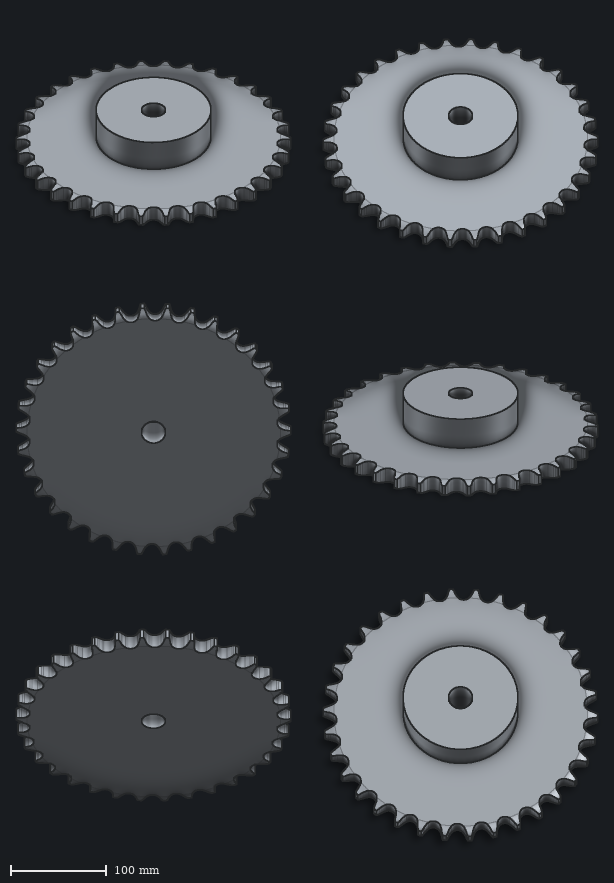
import cadquery as cq
import math

tooth_count = 34
outer_diameter = 287.0
outer_radius = outer_diameter / 2
pitch_diameter = 275.2
pitch_radius = pitch_diameter / 2
plate_thickness = 16.0
pitch_angle = 360 / tooth_count
chain_pitch = 2 * pitch_radius * math.sin(math.radians(pitch_angle / 2))

roller_to_pitch_ratio = 0.625
working_offset_ratio = 0.8
topping_offset_ratio = 1.4
roller_diameter = roller_to_pitch_ratio * chain_pitch
seat_radius = roller_diameter / 2
seat_end_angle = math.radians(35 + 60 / tooth_count)
working_arc_angle = math.radians(18 - 56 / tooth_count)
topping_angle = math.radians(17 - 64 / tooth_count)
working_offset = working_offset_ratio * roller_diameter
topping_offset = topping_offset_ratio * roller_diameter
working_radius = seat_radius + working_offset
flank_length = (
    topping_offset * math.sin(topping_angle) - working_offset * math.sin(working_arc_angle)
)
topping_radius = (
    working_offset * math.cos(working_arc_angle)
    + topping_offset * math.cos(topping_angle)
    - working_radius
)

rim_clearance = 1.5

relief_start_radius = 132.3
relief_width = outer_radius - relief_start_radius
relief_radius = chain_pitch

hub_diameter = 120.0
total_height = 50.0
bore_diameter = 25.0


def relief_drop(distance):
    """Drop of the relief arc below the plate face, at a distance outward from where it starts."""
    return relief_radius - math.sqrt(relief_radius**2 - distance**2)


def make_blank():
    """Round plate whose rim is thinned on both faces by an arc tangent to the face."""
    rim_drop = relief_drop(relief_width)
    middle_radius = relief_start_radius + relief_width / 2
    middle_drop = relief_drop(relief_width / 2)
    return (
        cq.Workplane("XZ")
        .moveTo(0, 0)
        .lineTo(relief_start_radius, 0)
        .threePointArc((middle_radius, middle_drop), (outer_radius, rim_drop))
        .lineTo(outer_radius, plate_thickness - rim_drop)
        .threePointArc(
            (middle_radius, plate_thickness - middle_drop),
            (relief_start_radius, plate_thickness),
        )
        .lineTo(0, plate_thickness)
        .close()
        .revolve(360, (0, 0, 0), (0, 1, 0))
    )


def arc_point(centre, radius, angle):
    """Point on an arc, with the angle taken from the -Y direction towards +X."""
    return centre[0] + radius * math.sin(angle), centre[1] - radius * math.cos(angle)


def mirrored(point):
    """The same point on the other side of the gap centreline."""
    return point[0], -point[1]


def make_gap_cutter():
    """Space between two teeth, centred on the X axis.

    Each side runs outward from the roller seat through a hollow working arc,
    a short straight flank and a bulging topping arc, all tangent.
    """
    roller_centre = (pitch_radius, 0)
    seat_bottom = (pitch_radius - seat_radius, 0)
    seat_end = arc_point(roller_centre, -seat_radius, seat_end_angle)

    flank_angle = seat_end_angle - working_arc_angle
    working_centre = arc_point(roller_centre, working_offset, seat_end_angle)
    working_middle = arc_point(
        working_centre, -working_radius, seat_end_angle - working_arc_angle / 2
    )
    working_end = arc_point(working_centre, -working_radius, flank_angle)

    flank_end = (
        working_end[0] + flank_length * math.cos(flank_angle),
        working_end[1] + flank_length * math.sin(flank_angle),
    )

    topping_centre = arc_point(flank_end, -topping_radius, flank_angle)
    outside_x = outer_radius + rim_clearance
    topping_end_angle = math.asin((outside_x - topping_centre[0]) / topping_radius)
    topping_middle = arc_point(
        topping_centre, topping_radius, (flank_angle + topping_end_angle) / 2
    )
    topping_end = arc_point(topping_centre, topping_radius, topping_end_angle)

    return (
        cq.Workplane("XY")
        .moveTo(*mirrored(seat_end))
        .threePointArc(seat_bottom, seat_end)
        .threePointArc(working_middle, working_end)
        .lineTo(*flank_end)
        .threePointArc(topping_middle, topping_end)
        .lineTo(*mirrored(topping_end))
        .threePointArc(mirrored(topping_middle), mirrored(flank_end))
        .lineTo(*mirrored(working_end))
        .threePointArc(mirrored(working_middle), mirrored(seat_end))
        .close()
        .extrude(plate_thickness)
    )


plate = make_blank()
gap_cutter = make_gap_cutter()

for index in range(tooth_count):
    gap_angle = (index + 0.5) * pitch_angle
    plate = plate.cut(gap_cutter.rotate((0, 0, 0), (0, 0, 1), gap_angle))

hub = cq.Workplane("XY").circle(hub_diameter / 2).extrude(total_height)
bore = cq.Workplane("XY").circle(bore_diameter / 2).extrude(total_height)
result = plate.union(hub).cut(bore)